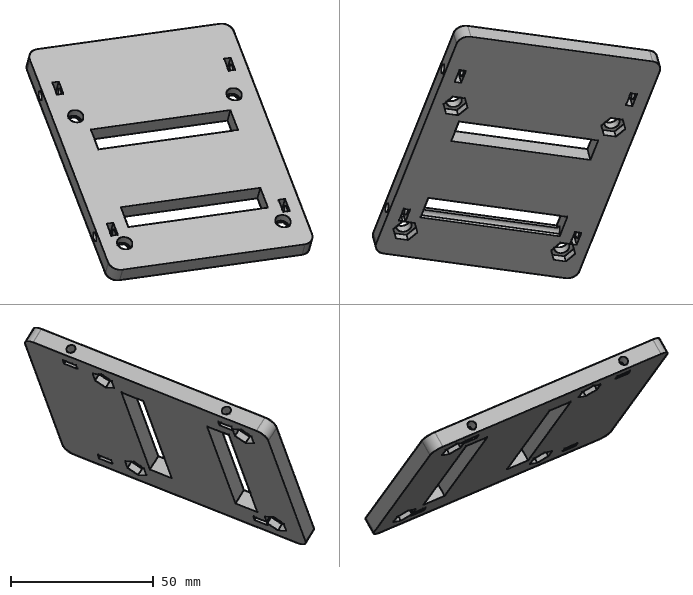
import cadquery as cq
import math

tilt = 30.0
length = 100.0
width = 76.0
thickness = 6.0
corner_radius = 4.0

window_width = 9.0
window_length = 52.0
window_centers = (-7.7, 27.5)

mount_diameter = 5.5
mount_centers = (-18.8, 38.7)
mount_offset = 29.5
hex_across_flats = 7.8
hex_across_corners = hex_across_flats / math.cos(math.radians(30))
hex_depth = 2.8

cross_diameter = 3.2
cross_offset = 32.0
nut_slot_length = 5.5
nut_slot_width = 2.4
nut_slot_offset = 32.0


def make_plate():
    plate = cq.Workplane("XY").box(length, width, thickness)
    return plate.edges("|Z").fillet(corner_radius)


def rectangular_openings(points, size_x, size_y):
    return cq.Workplane("XY").pushPoints(points).rect(size_x, size_y).extrude(thickness, both=True)


def mounting_holes():
    points = [(x, side * mount_offset) for x in mount_centers for side in (-1, 1)]
    holes = cq.Workplane("XY").pushPoints(points).circle(mount_diameter / 2).extrude(thickness, both=True)
    underside = cq.Workplane("XY").workplane(offset=-thickness / 2)
    corner_angles = [math.radians(30 + 60 * i) for i in range(6)]
    radius = hex_across_corners / 2
    for x, y in points:
        corners = [(x + radius * math.cos(a), y + radius * math.sin(a)) for a in corner_angles]
        holes = holes.union(underside.polyline(corners).close().extrude(hex_depth))
    return holes


def cross_holes():
    points = [(-cross_offset, 0), (cross_offset, 0)]
    edge_plane = cq.Workplane("XZ").workplane(offset=-width / 2)
    return edge_plane.pushPoints(points).circle(cross_diameter / 2).extrude(width)


window_points = [(x, 0) for x in window_centers]
nut_slot_points = [(end * cross_offset, side * nut_slot_offset) for end in (-1, 1) for side in (-1, 1)]

plate = make_plate()
plate = plate.cut(rectangular_openings(window_points, window_width, window_length))
plate = plate.cut(rectangular_openings(nut_slot_points, nut_slot_length, nut_slot_width))
plate = plate.cut(mounting_holes())
plate = plate.cut(cross_holes())

result = plate.rotate((0, 0, 0), (0, 1, 0), tilt)